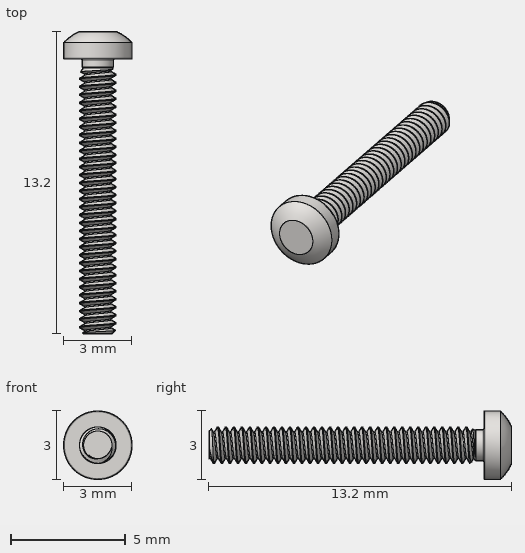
import cadquery as cq
import math

LENGTH = 13.2

HEAD_RADIUS = 3.0 / 2
HEAD_HEIGHT = 1.2
DOME_HEIGHT = 0.49
CROWN_FLAT_RADIUS = 0.82
HEAD_RIM_FILLET = 0.04

THREAD_PITCH = 0.35
THREAD_RADIUS = 1.6 / 2
FLANK_ANGLE = math.radians(30)
CREST_WIDTH = THREAD_PITCH / 8
ROOT_WIDTH = THREAD_PITCH / 6
ROOT_RADIUS = THREAD_RADIUS - (THREAD_PITCH - ROOT_WIDTH - CREST_WIDTH) / 2 / math.tan(FLANK_ANGLE)
THREAD_EMBED = 0.03
THREAD_START = -0.01

NECK_RADIUS = 0.69
NECK_LENGTH = 0.35
NECK_FILLET = 0.05

RUNOUT_END = 0.65
RUNOUT_ANGLE = math.radians(30)
TIP_RADIUS = 0.62

SHANK_LENGTH = LENGTH - HEAD_HEIGHT


def make_head():
    """Disc with a dome centred on the axis, cut off flat at the crown."""
    rim_height = HEAD_HEIGHT - DOME_HEIGHT
    center_drop = (HEAD_RADIUS**2 - CROWN_FLAT_RADIUS**2 + DOME_HEIGHT**2) / (2 * DOME_HEIGHT)
    dome_radius = math.hypot(CROWN_FLAT_RADIUS, center_drop)
    mid_radius = (HEAD_RADIUS + CROWN_FLAT_RADIUS) / 2
    mid_height = HEAD_HEIGHT - center_drop + math.sqrt(dome_radius**2 - mid_radius**2)
    head = (
        cq.Workplane("XY")
        .lineTo(HEAD_RADIUS, 0)
        .lineTo(HEAD_RADIUS, rim_height)
        .threePointArc((mid_radius, mid_height), (CROWN_FLAT_RADIUS, HEAD_HEIGHT))
        .lineTo(0, HEAD_HEIGHT)
        .close()
        .revolve(360, (0, 0, 0), (0, 1, 0))
    )
    return head.faces("<Y").edges().fillet(HEAD_RIM_FILLET)


def make_neck():
    """Plain cylinder that flares into the head and tapers down to the thread root."""
    taper = NECK_RADIUS - ROOT_RADIUS
    diagonal = NECK_FILLET * (1 - math.sqrt(0.5))
    return (
        cq.Workplane("XY")
        .moveTo(0, HEAD_HEIGHT / 2)
        .lineTo(NECK_RADIUS + NECK_FILLET, HEAD_HEIGHT / 2)
        .lineTo(NECK_RADIUS + NECK_FILLET, 0)
        .threePointArc((NECK_RADIUS + diagonal, -diagonal), (NECK_RADIUS, -NECK_FILLET))
        .lineTo(NECK_RADIUS, -NECK_LENGTH)
        .lineTo(ROOT_RADIUS, -NECK_LENGTH - taper)
        .lineTo(0, -NECK_LENGTH - taper)
        .close()
        .revolve(360, (0, 0, 0), (0, 1, 0))
    )


def make_ridge():
    """Helical ridge running past the tip, wound about Z and then turned to run along -Y."""
    base_radius = ROOT_RADIUS - THREAD_EMBED
    half_crest = CREST_WIDTH / 2
    half_base = half_crest + (THREAD_RADIUS - base_radius) * math.tan(FLANK_ANGLE)
    helix_length = SHANK_LENGTH - THREAD_START + THREAD_PITCH
    helix = cq.Wire.makeHelix(THREAD_PITCH, helix_length, ROOT_RADIUS)
    ridge = (
        cq.Workplane("XZ")
        .moveTo(base_radius, -half_base)
        .lineTo(THREAD_RADIUS, -half_crest)
        .lineTo(THREAD_RADIUS, half_crest)
        .lineTo(base_radius, half_base)
        .close()
        .sweep(cq.Workplane(helix), isFrenet=True)
    )
    return ridge.rotate((0, 0, 0), (1, 0, 0), 90).translate((0, -THREAD_START, 0))


def make_envelope():
    """Outer limit of the thread: conical runout at the neck, full diameter, chamfered tip."""
    margin = 0.07
    full_radius = THREAD_RADIUS + margin
    slope = math.tan(RUNOUT_ANGLE)
    start = RUNOUT_END - (THREAD_RADIUS - ROOT_RADIUS) / slope
    return (
        cq.Workplane("XY")
        .moveTo(0, -start)
        .lineTo(ROOT_RADIUS, -start)
        .lineTo(full_radius, -RUNOUT_END - margin / slope)
        .lineTo(full_radius, -SHANK_LENGTH + full_radius - TIP_RADIUS)
        .lineTo(TIP_RADIUS, -SHANK_LENGTH)
        .lineTo(0, -SHANK_LENGTH)
        .close()
        .revolve(360, (0, 0, 0), (0, 1, 0))
    )


ridge = make_ridge().intersect(make_envelope())
core = cq.Workplane("XZ").circle(ROOT_RADIUS).extrude(SHANK_LENGTH)
result = core.union(ridge).union(make_neck()).union(make_head())